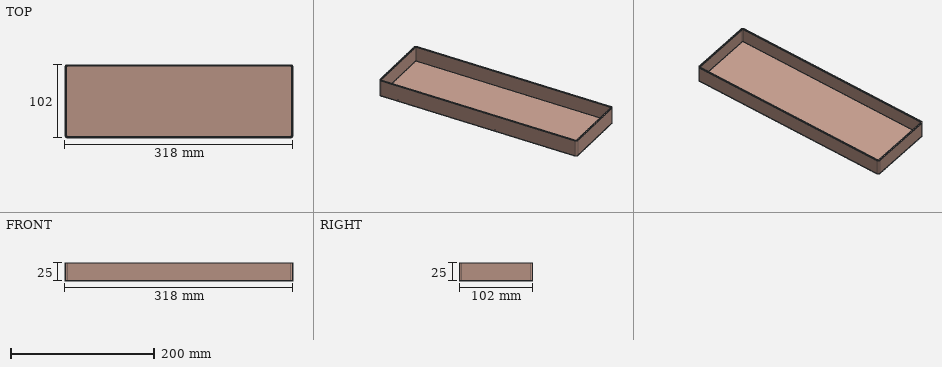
import cadquery as cq

length = 318.0
width = 102.0
height = 25.0

wall = 2.0
floor_thickness = 2.0
corner_radius = 3.0
inner_corner_radius = corner_radius - wall


def rounded_block(size_x, size_y, size_z, radius):
    """Upright block standing on Z = 0 with rounded vertical edges."""
    block = cq.Workplane("XY").box(size_x, size_y, size_z, centered=(True, True, False))
    return block.edges("|Z").fillet(radius)


outer_body = rounded_block(length, width, height, corner_radius)

cavity = rounded_block(
    length - 2 * wall,
    width - 2 * wall,
    height - floor_thickness,
    inner_corner_radius,
).translate((0, 0, floor_thickness))

result = outer_body.cut(cavity)